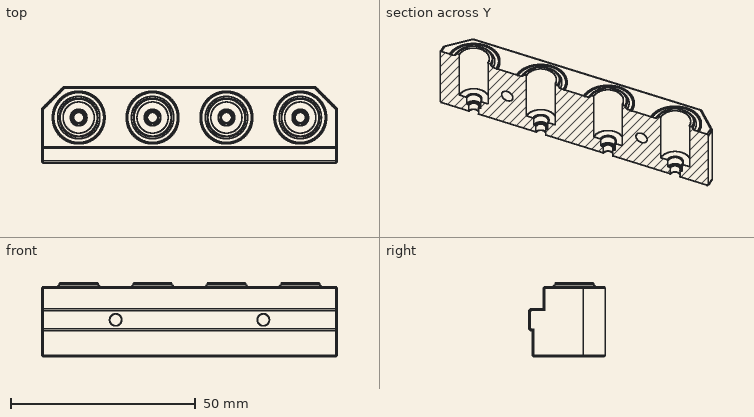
import cadquery as cq

LENGTH = 80.0
DEPTH = 20.75
BODY_HEIGHT = 19.0
UPPER_DEPTH = 16.75
LOWER_DEPTH = 19.75
LEDGE_TOP = 13.0
LEDGE_BOTTOM = 7.0
LEDGE_CHAMFER = 0.6
CORNER_BEVEL = 6.0
EDGE_CHAMFER = 0.4

BACK_Y = DEPTH / 2
LEDGE_FRONT_Y = BACK_Y - DEPTH
UPPER_FRONT_Y = BACK_Y - UPPER_DEPTH
LOWER_FRONT_Y = BACK_Y - LOWER_DEPTH

SOCKET_COUNT = 4
SOCKET_PITCH = 20.0
SOCKET_SETBACK = 8.4
SOCKET_Y = BACK_Y - SOCKET_SETBACK
TOTAL_HEIGHT = 20.0
NOZZLE_BASE_DIAMETER = 11.5
NOZZLE_TOP_DIAMETER = 10.45
NOZZLE_EDGE_CHAMFER = 0.2
GROOVE_OUTER_DIAMETER = 14.3
GROOVE_INNER_DIAMETER = 13.5
BORE_DIAMETER = 8.45
BORE_FLOOR = 5.0
PILOT_DIAMETER = 4.1
PILOT_FLOOR = 2.5
PILOT_CHAMFER = 0.2
OUTLET_DIAMETER = 2.8
OUTLET_CHAMFER = 0.2

CROSS_HOLE_DIAMETER = 3.2
CROSS_HOLE_SPACING = 40.0
CROSS_HOLE_Z = 10.0


def make_body():
    profile = [
        (BACK_Y, 0),
        (BACK_Y, BODY_HEIGHT),
        (UPPER_FRONT_Y, BODY_HEIGHT),
        (UPPER_FRONT_Y, LEDGE_TOP),
        (LEDGE_FRONT_Y, LEDGE_TOP),
        (LEDGE_FRONT_Y, LEDGE_BOTTOM),
        (LOWER_FRONT_Y, LEDGE_BOTTOM),
        (LOWER_FRONT_Y, 0),
    ]
    bar = cq.Workplane("YZ").polyline(profile).close().extrude(LENGTH / 2, both=True)
    bar = bar.edges("|Z and >Y").chamfer(CORNER_BEVEL)
    bar = bar.edges("|X and <Y").chamfer(LEDGE_CHAMFER)
    bevel_corners = cq.selectors.BoxSelector(
        (-LENGTH, BACK_Y - CORNER_BEVEL - EDGE_CHAMFER, EDGE_CHAMFER),
        (LENGTH, BACK_Y + EDGE_CHAMFER, BODY_HEIGHT - EDGE_CHAMFER),
    )
    outer_edges = bar.faces("<X or >X or <Z or >Z").edges()
    return outer_edges.edges(cq.selectors.InverseSelector(bevel_corners)).chamfer(EDGE_CHAMFER)


def revolve_section(half_section):
    """Turn a (radius, Z) outline about the vertical axis."""
    return cq.Workplane("XZ").polyline(half_section).close().revolve(360, (0, 0), (0, 1))


def make_nozzle():
    base_radius = NOZZLE_BASE_DIAMETER / 2
    top_radius = NOZZLE_TOP_DIAMETER / 2
    cone_top = BODY_HEIGHT + base_radius - top_radius
    half_section = [
        (0, BODY_HEIGHT),
        (base_radius, BODY_HEIGHT),
        (top_radius, cone_top),
        (top_radius, TOTAL_HEIGHT - NOZZLE_EDGE_CHAMFER),
        (top_radius - NOZZLE_EDGE_CHAMFER, TOTAL_HEIGHT),
        (0, TOTAL_HEIGHT),
    ]
    return revolve_section(half_section)


def make_groove():
    outer_radius = GROOVE_OUTER_DIAMETER / 2
    inner_radius = GROOVE_INNER_DIAMETER / 2
    groove_depth = (outer_radius - inner_radius) / 2
    half_section = [
        (inner_radius, BODY_HEIGHT),
        (outer_radius, BODY_HEIGHT),
        (inner_radius + groove_depth, BODY_HEIGHT - groove_depth),
    ]
    return revolve_section(half_section)


def make_bore():
    bore_radius = BORE_DIAMETER / 2
    pilot_radius = PILOT_DIAMETER / 2
    outlet_radius = OUTLET_DIAMETER / 2
    half_section = [
        (0, 0),
        (outlet_radius, 0),
        (outlet_radius, PILOT_FLOOR - OUTLET_CHAMFER),
        (outlet_radius + OUTLET_CHAMFER, PILOT_FLOOR),
        (pilot_radius, PILOT_FLOOR),
        (pilot_radius, BORE_FLOOR - PILOT_CHAMFER),
        (pilot_radius + PILOT_CHAMFER, BORE_FLOOR),
        (bore_radius, BORE_FLOOR),
        (bore_radius, TOTAL_HEIGHT),
        (0, TOTAL_HEIGHT),
    ]
    return revolve_section(half_section)


def add_sockets(body):
    for index in range(SOCKET_COUNT):
        x = (index - (SOCKET_COUNT - 1) / 2) * SOCKET_PITCH
        place = (x, SOCKET_Y, 0)
        body = body.union(make_nozzle().translate(place))
        body = body.cut(make_groove().translate(place))
        body = body.cut(make_bore().translate(place))
    return body


def cut_cross_holes(body):
    for x in (-CROSS_HOLE_SPACING / 2, CROSS_HOLE_SPACING / 2):
        hole = (
            cq.Workplane("XZ", origin=(x, 0, CROSS_HOLE_Z))
            .circle(CROSS_HOLE_DIAMETER / 2)
            .extrude(DEPTH, both=True)
        )
        body = body.cut(hole)
    return body


result = cut_cross_holes(add_sockets(make_body()))